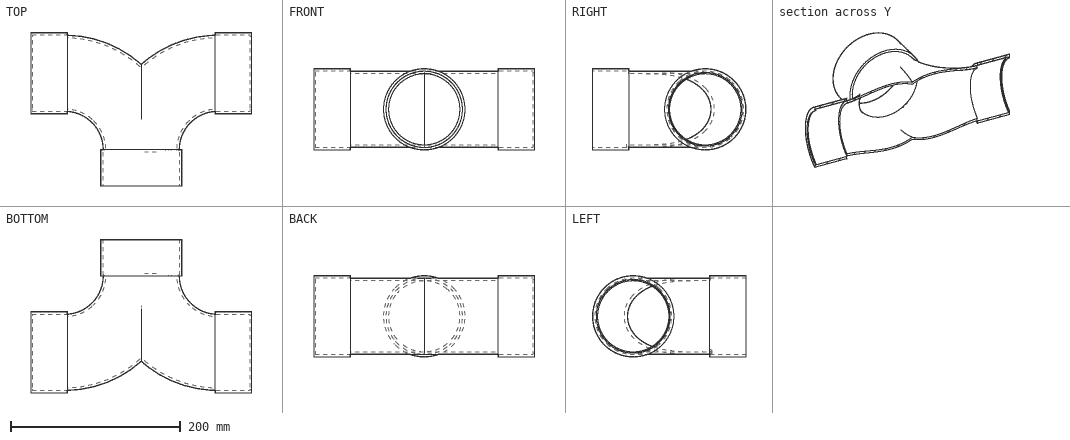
import cadquery as cq

overall_width = 260.0
pipe_diameter = 90.0
pipe_bore = 84.0
bend_radius = 90.0

socket_diameter = 96.0
socket_length = 43.0
socket_bore = pipe_diameter
inlet_end = bend_radius + socket_length
side_end = overall_width / 2

shoulder_radius = (socket_bore - pipe_bore) / 2
inlet_socket_depth = socket_length - shoulder_radius

lip_bore = 87.0
lip_width = 1.5
joining_web = 0.1
side_socket_depth = socket_length - joining_web


def bend(diameter, side):
    """Solid quarter bend from the inlet to the side socket at side = -1 or +1 along X."""
    centre_x = side * bend_radius
    return (
        cq.Workplane("XZ", origin=(0, -bend_radius, 0))
        .circle(diameter / 2)
        .revolve(90, (centre_x, 0, 0), (centre_x, -side, 0))
    )


def side_cylinder(diameter, start, end, side):
    """Cylinder on the side socket axis, between two depths measured from the mouth."""
    start_x = side * (side_end - start)
    return (
        cq.Workplane("YZ", origin=(start_x, 0, 0))
        .circle(diameter / 2)
        .extrude(-side * (end - start))
    )


def inlet_socket():
    """Solid cylinder of the inlet socket."""
    return cq.Workplane("XZ", origin=(0, -inlet_end, 0)).circle(socket_diameter / 2).extrude(-socket_length)


def inlet_passage():
    """Inlet bore whose shoulder rolls over a convex quarter round into the pipe bore."""
    shoulder_y = -inlet_end + inlet_socket_depth
    round_end_y = shoulder_y + shoulder_radius
    return (
        cq.Workplane("XY")
        .moveTo(0, -inlet_end)
        .lineTo(socket_bore / 2, -inlet_end)
        .lineTo(socket_bore / 2, shoulder_y)
        .radiusArc((pipe_bore / 2, round_end_y), -shoulder_radius)
        .lineTo(0, round_end_y)
        .close()
        .revolve(360, (0, 0, 0), (0, 1, 0))
    )


def side_passage(side):
    """Side socket bore behind the narrower opening of its lip."""
    opening = side_cylinder(lip_bore, 0, lip_width, side)
    bore = side_cylinder(socket_bore, lip_width, side_socket_depth, side)
    return opening.union(bore)


def outer_body():
    """Sockets and bends joined as solid bars."""
    body = inlet_socket()
    for side in (-1, 1):
        body = body.union(bend(pipe_diameter, side))
        body = body.union(side_cylinder(socket_diameter, 0, socket_length, side))
    return body


def inner_passage():
    """The whole hollow, joined from the socket bores and the bend bores."""
    passage = inlet_passage()
    for side in (-1, 1):
        passage = passage.union(bend(pipe_bore, side))
        passage = passage.union(side_passage(side))
    return passage


result = outer_body().cut(inner_passage())